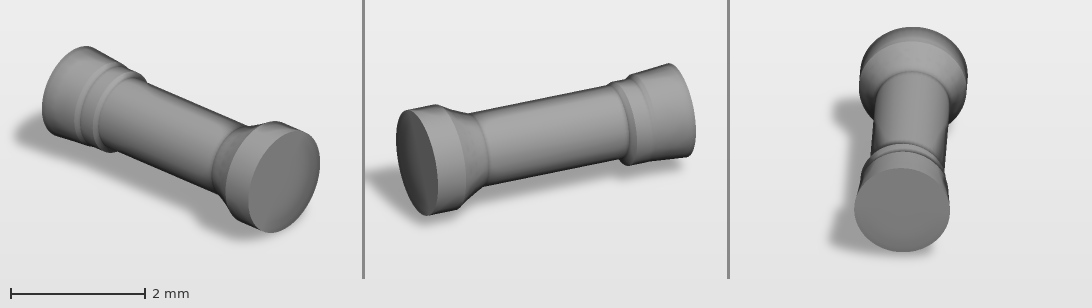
import cadquery as cq

length = 4.21
tip_length = 0.6
tip_chamfer_length = 0.075
collar_length = 0.253
collar_chamfer_length = 0.075
flare_length = 0.485
head_length = 0.455

head_diameter = 1.61
tip_diameter = 1.43
tip_inner_diameter = 1.33
collar_diameter = 1.28
shank_diameter = 1.12

head_center = (0, 0)
tip_center = (0.005, -0.005)
collar_center = (0.025, -0.025)
shank_center = (-0.015, 0.005)

flare_sag = 0.013

left_end = -length / 2
tip_end = left_end + tip_length
collar_start = tip_end + tip_chamfer_length
collar_end = collar_start + collar_length
shank_start = collar_end + collar_chamfer_length
right_end = length / 2
head_start = right_end - head_length
shank_end = head_start - flare_length


def ring(x, center, diameter):
    """Circular section across the X axis."""
    return cq.Wire.makeCircle(diameter / 2, cq.Vector(x, *center), cq.Vector(1, 0, 0))


def mean(first, second):
    return (first + second) / 2


tip_face = ring(left_end, tip_center, tip_diameter)
tip_edge = ring(tip_end, tip_center, tip_inner_diameter)
collar_left = ring(collar_start, collar_center, collar_diameter)
collar_right = ring(collar_end, collar_center, collar_diameter)
shank_left = ring(shank_start, shank_center, shank_diameter)
shank_right = ring(shank_end, shank_center, shank_diameter)
flare_middle = ring(
    mean(shank_end, head_start),
    (mean(shank_center[0], head_center[0]), mean(shank_center[1], head_center[1])),
    mean(shank_diameter, head_diameter) - 2 * flare_sag,
)
head_left = ring(head_start, head_center, head_diameter)
head_right = ring(right_end, head_center, head_diameter)

stem = cq.Solid.makeLoft(
    [tip_face, tip_edge, collar_left, collar_right, shank_left, shank_right], True
)

flare = cq.Solid.makeLoft([shank_right, flare_middle, head_left], False)
head = cq.Solid.makeLoft([head_left, head_right], True)

result = cq.Workplane("XY").add(stem).union(cq.Workplane(flare)).union(cq.Workplane(head))